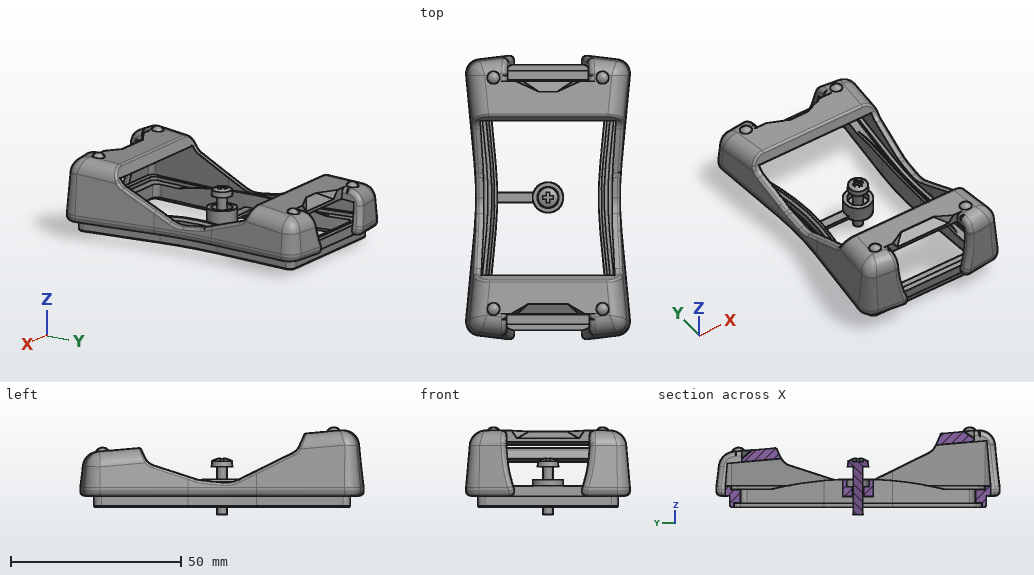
import cadquery as cq
import math

END_Y = 42.0
WAIST_X = 21.2
WAIST_ARC_Y = 10.0
FLARE_ANGLE = 5.4
END_FLAT_X = 8.75
END_DROP = 1.9
CORNER_R = 4.3
REACH = 100.05
OVERLAP = 0.8
TOLERANCE = 0.1

BUMPER_Z = 3.3
DRAFT_Z = 5.8
DRAFT_ANGLE = 5.0
BOTTOM_EDGE_R = 1.6
ROOF_Z = 19.6
ROOF_ANGLE = 5.0
ROOF_EDGE_R = 4.8
ROOF_T = 3.3
WALL_T = 2.25
CAVITY_END_Y = 39.0

CUT_POINTS = [(24.9, 19.6), (21.85, 12.9), (6.7, 8.0), (-2.5, 7.0), (-22.1, 16.7), (-24.85, 22.9)]
CUT_RADII = [4.2, 6.7, 8.3, 4.2]
RIM_R = 0.8

WINDOW_TOP_X = 12.2
WINDOW_BOTTOM_X = 9.2
WINDOW_TOP_Z = 18.6
WINDOW_INNER_Y = 34.2
WINDOW_EDGE_R = 1.5

SCOOP_INNER_Y = 31.1
SCOOP_HIGH_X = 5.8
SCOOP_LOW_X = 2.75
SCOOP_SIDE_ANGLE = 20.0
SCOOP_OUTER_X = 13.5
SCOOP_OUTER_Y = 35.85
SCOOP_DEPTH = 2.3

RING_WAIST_X = 17.75
RING_END_Y = 37.7
RING_CORNER_R = 2.1
RING_EDGE = 0.4
OPENING_WAIST_X = 14.8
OPENING_END_Y = 34.4
UPPER_LEDGE_Z = 6.3
UPPER_LEDGE_WAIST_X = 17.6
UPPER_LEDGE_END_Y = 37.3
LOWER_LEDGE_Z = 5.25
UNDERCUT_Z = 1.25
UNDERCUT_T = 1.3
LIP_T = 1.7
LIP_TOP_Z = 8.3
LIP_EDGE = 0.8
LIP_HALF_L = 25.85
INNER_CORNER_R = 1.7

NUB_X = 16.0
NUB_HIGH_Y = -32.8
NUB_LOW_Y = 35.2
NUB_D = 3.7
NUB_H = 1.1

ARM_W = 3.0
ARM_T = 1.0
ARM_TOP_Z = 4.2
BOSS_D = 9.0
BOSS_TOP_Z = 8.2
BOSS_HOLE_D = 3.2
BOSS_BORE_D = 6.3
BOSS_BORE_DEPTH = 2.1

SHANK_D = 3.0
TIP_D = 2.75
TIP_Z = -2.2
HEAD_D = 6.25
HEAD_NECK_D = 5.9
HEAD_Z = 11.9
DOME_Z = 13.6
HEAD_TOP_Z = 14.5
CROSS_L = 3.0
CROSS_W = 1.0
CROSS_DEPTH = 1.0


def flared_outline(z, waist_x, end_y, corner_r, end_drop=0.0):
    """Closed waisted outline, symmetric about both axes, with rounded corners."""
    flare = math.radians(FLARE_ANGLE)
    arc_x = waist_x + WAIST_ARC_Y * math.tan(flare / 2)
    corner_y = end_y - end_drop
    corner_x = arc_x + (corner_y - WAIST_ARC_Y) * math.tan(flare)
    sketch = (
        cq.Workplane("XY", origin=(0, 0, z))
        .moveTo(arc_x, -WAIST_ARC_Y)
        .threePointArc((waist_x, 0), (arc_x, WAIST_ARC_Y))
        .lineTo(corner_x, corner_y)
    )
    if end_drop:
        sketch = sketch.lineTo(END_FLAT_X, end_y).lineTo(-END_FLAT_X, end_y)
    sketch = (
        sketch.lineTo(-corner_x, corner_y)
        .lineTo(-arc_x, WAIST_ARC_Y)
        .threePointArc((-waist_x, 0), (-arc_x, -WAIST_ARC_Y))
        .lineTo(-corner_x, -corner_y)
    )
    if end_drop:
        sketch = sketch.lineTo(-END_FLAT_X, -end_y).lineTo(END_FLAT_X, -end_y)
    wire = sketch.lineTo(corner_x, -corner_y).close().val()
    corners = [v for v in wire.Vertices() if abs(abs(v.X) - corner_x) < TOLERANCE]
    return cq.Workplane("XY", origin=(0, 0, z)).add(wire.fillet2D(corner_r, corners)).toPending()


def flared_prism(bottom_z, top_z, waist_x, end_y, corner_r):
    return flared_outline(bottom_z, waist_x, end_y, corner_r).extrude(top_z - bottom_z)


def roof_z(y):
    return ROOF_Z - y * math.tan(math.radians(ROOF_ANGLE))


def space_above_roof(offset):
    """Everything above the roof plane moved down by offset."""
    return (
        cq.Workplane("YZ")
        .polyline([(-REACH, roof_z(-REACH) - offset), (REACH, roof_z(REACH) - offset),
                   (REACH, REACH), (-REACH, REACH)])
        .close()
        .extrude(REACH, both=True)
    )


def drafted_block(waist_x, end_y, corner_r, end_drop, top_offset):
    """Upright up to DRAFT_Z, drafted above, closed by a plane parallel to the roof."""
    upright = flared_outline(BUMPER_Z, waist_x, end_y, corner_r, end_drop).extrude(DRAFT_Z - BUMPER_Z)
    drafted = flared_outline(DRAFT_Z, waist_x, end_y, corner_r, end_drop).extrude(
        ROOF_Z, taper=DRAFT_ANGLE
    )
    return upright.union(drafted).cut(space_above_roof(top_offset))


def rim_edges(solid, cutter):
    """Edges where the faces left by the cutter meet the other faces of the solid."""
    def on_cutter(edge):
        middle = cq.Vertex.makeVertex(*edge.positionAt(0.5).toTuple())
        return cutter.val().distance(middle) < TOLERANCE / 100

    cut_faces = [f for f in solid.faces().vals() if all(on_cutter(e) for e in f.Edges())]
    edges = [e for f in cut_faces for e in f.Edges()]
    return [e for e in edges if sum(e.isSame(other) for other in edges) == 1]


def side_cut():
    """Everything to be removed between the two roofs, with rounded bends."""
    low_roof_y = CUT_POINTS[0][0]
    high_roof_y = CUT_POINTS[-1][0]
    profile = cq.Workplane("YZ").polyline(CUT_POINTS + [(high_roof_y, REACH), (low_roof_y, REACH)])
    solid = profile.close().extrude(REACH / 2, both=True)
    for (y, z), radius in zip(CUT_POINTS[1:-1], CUT_RADII):
        tip = cq.selectors.BoxSelector(
            (-TOLERANCE, y - TOLERANCE, z - TOLERANCE), (TOLERANCE, y + TOLERANCE, z + TOLERANCE)
        )
        solid = solid.edges(tip).fillet(radius)
    return solid


def end_windows():
    """Openings through both end walls, wider at the roof than at the bottom."""
    half = (
        cq.Workplane("XZ", origin=(0, REACH / 2, 0))
        .moveTo(WINDOW_TOP_X, REACH)
        .lineTo(WINDOW_TOP_X, WINDOW_TOP_Z)
        .tangentArcPoint((WINDOW_BOTTOM_X, BUMPER_Z), relative=False)
        .lineTo(WINDOW_BOTTOM_X, 0)
        .lineTo(0, 0)
        .lineTo(0, REACH)
        .close()
        .extrude(REACH / 2 - WINDOW_INNER_Y)
    )
    low_end = half.union(half.mirror("YZ"))
    return low_end.union(low_end.mirror("XZ"))


def scoop(end, inner_x):
    """Sloping trapezoid cut in the outer edge of a roof; end is +1 or -1 along Y."""
    inner_z = roof_z(end * SCOOP_INNER_Y)
    top_z = max(inner_z, roof_z(end * SCOOP_OUTER_Y))
    cutter = (
        cq.Workplane("XY", origin=(0, 0, top_z))
        .polyline([(inner_x, end * SCOOP_INNER_Y), (SCOOP_OUTER_X, end * SCOOP_OUTER_Y),
                   (SCOOP_OUTER_X, end * END_Y), (-SCOOP_OUTER_X, end * END_Y),
                   (-SCOOP_OUTER_X, end * SCOOP_OUTER_Y), (-inner_x, end * SCOOP_INNER_Y)])
        .close()
        .extrude(-ROOF_T - OVERLAP, taper=SCOOP_SIDE_ANGLE)
    )
    outer_z = roof_z(end * WINDOW_INNER_Y) - SCOOP_DEPTH
    slope = (outer_z - inner_z) / (WINDOW_INNER_Y - SCOOP_INNER_Y)
    above = (
        cq.Workplane("YZ")
        .polyline([(end * SCOOP_INNER_Y, inner_z),
                   (end * SCOOP_OUTER_Y, inner_z + slope * (SCOOP_OUTER_Y - SCOOP_INNER_Y)),
                   (end * SCOOP_OUTER_Y, REACH), (end * SCOOP_INNER_Y, REACH)])
        .close()
        .extrude(REACH, both=True)
    )
    return cutter.intersect(above)


def make_bumper():
    shell = drafted_block(WAIST_X, END_Y, CORNER_R, END_DROP, 0)
    shell = shell.faces(">Z").edges().fillet(ROOF_EDGE_R)
    shell = shell.faces("<Z").edges().fillet(BOTTOM_EDGE_R)
    cut = side_cut()
    shell = shell.cut(cut)
    shell = shell.newObject(rim_edges(shell, cut)).fillet(RIM_R)
    windows = end_windows()
    shell = shell.cut(windows)
    outer_edges = [
        e for e in rim_edges(shell, windows)
        if abs(e.Center().y) > WINDOW_INNER_Y + TOLERANCE and e.Center().z > BUMPER_Z + TOLERANCE
    ]
    shell = shell.newObject(outer_edges).fillet(WINDOW_EDGE_R)
    cavity = drafted_block(WAIST_X - WALL_T, CAVITY_END_Y, INNER_CORNER_R, 0, ROOF_T)
    shell = shell.cut(cavity)
    shell = shell.cut(scoop(-1, SCOOP_HIGH_X))
    return shell.cut(scoop(1, SCOOP_LOW_X))


def make_ring():
    lower = flared_prism(0, BUMPER_Z, RING_WAIST_X, RING_END_Y, RING_CORNER_R)
    lower = lower.faces("<Z").edges().chamfer(RING_EDGE)
    upper = flared_prism(BUMPER_Z, UPPER_LEDGE_Z, WAIST_X - WALL_T, CAVITY_END_Y, INNER_CORNER_R)
    ring = lower.union(upper)
    opening = flared_prism(0, REACH, OPENING_WAIST_X, OPENING_END_Y, INNER_CORNER_R)
    groove = flared_prism(
        LOWER_LEDGE_Z, REACH, UPPER_LEDGE_WAIST_X, UPPER_LEDGE_END_Y, INNER_CORNER_R
    )
    undercut = flared_prism(
        0, UNDERCUT_Z, RING_WAIST_X - UNDERCUT_T, RING_END_Y - UNDERCUT_T, INNER_CORNER_R
    )
    return ring.cut(opening).cut(groove).cut(undercut)


def lip_middle_x(y):
    """Half width of the line that runs midway between the two faces of a lip."""
    slope = math.tan(math.radians(FLARE_ANGLE))
    return OPENING_WAIST_X + LIP_T / 2 + max(0, abs(y) - WAIST_ARC_Y / 2) * slope


def make_lips():
    """Two arched lips along the waisted sides of the ring opening."""
    outside = flared_prism(0, REACH, OPENING_WAIST_X + LIP_T, OPENING_END_Y, INNER_CORNER_R)
    inside = flared_prism(0, REACH, OPENING_WAIST_X, OPENING_END_Y + LIP_T, INNER_CORNER_R)
    base_z = LOWER_LEDGE_Z - OVERLAP
    arch = (
        cq.Workplane("YZ")
        .moveTo(-LIP_HALF_L, base_z)
        .lineTo(-LIP_HALF_L, LOWER_LEDGE_Z)
        .threePointArc((0, LIP_TOP_Z), (LIP_HALF_L, LOWER_LEDGE_Z))
        .lineTo(LIP_HALF_L, base_z)
        .close()
        .extrude(REACH, both=True)
    )
    lips = outside.cut(inside).intersect(arch)
    top_edges = [
        e for e in lips.edges().vals()
        if e.Center().z > LOWER_LEDGE_Z + TOLERANCE and e.Length() > LIP_T + OVERLAP
        and abs(e.positionAt(0.5).x) > lip_middle_x(e.positionAt(0.5).y)
    ]
    return lips.newObject(top_edges).chamfer(LIP_EDGE)


def make_nub(x, y):
    """Dome on the roof, square to the roof plane."""
    radius = (NUB_D**2 / 4 + NUB_H**2) / (2 * NUB_H)
    ball = cq.Workplane("XY").sphere(radius).translate((0, 0, NUB_H - radius))
    dome = ball.intersect(cq.Workplane("XY").box(NUB_D, NUB_D, 4 * NUB_H))
    return dome.rotate((0, 0, 0), (1, 0, 0), -ROOF_ANGLE).translate((x, y, roof_z(y)))


def make_boss():
    arm_z = ARM_TOP_Z - ARM_T
    arm_end_x = OPENING_WAIST_X + OVERLAP
    arm = cq.Workplane("XY").box(arm_end_x, ARM_W, ARM_T, centered=(False, True, False))
    arm = arm.translate((-arm_end_x, 0, arm_z))
    boss = cq.Workplane("XY", origin=(0, 0, arm_z)).circle(BOSS_D / 2).extrude(BOSS_TOP_Z - arm_z)
    hole = cq.Workplane("XY").circle(BOSS_HOLE_D / 2).extrude(REACH)
    bore = cq.Workplane("XY", origin=(0, 0, BOSS_TOP_Z - BOSS_BORE_DEPTH))
    bore = bore.circle(BOSS_BORE_D / 2).extrude(REACH)
    return arm.union(boss).cut(hole).cut(bore)


def make_frame():
    frame = make_bumper().union(make_ring()).union(make_lips())
    for x in (-NUB_X, NUB_X):
        for y in (NUB_HIGH_Y, NUB_LOW_Y):
            frame = frame.union(make_nub(x, y))
    return frame.union(make_boss())


def make_screw():
    shank = cq.Workplane("XY", origin=(0, 0, TIP_Z)).circle(SHANK_D / 2).extrude(HEAD_Z - TIP_Z)
    shank = shank.faces("<Z").edges().chamfer((SHANK_D - TIP_D) / 2)
    dome_rise = HEAD_TOP_Z - DOME_Z
    dome_r = (HEAD_NECK_D**2 / 4 + dome_rise**2) / (2 * dome_rise)
    mid_x = HEAD_NECK_D / 4
    mid_z = HEAD_TOP_Z - dome_r + math.sqrt(dome_r**2 - mid_x**2)
    head = (
        cq.Workplane("XZ")
        .moveTo(0, HEAD_Z)
        .lineTo(HEAD_D / 2, HEAD_Z)
        .lineTo(HEAD_NECK_D / 2, DOME_Z)
        .threePointArc((mid_x, mid_z), (0, HEAD_TOP_Z))
        .close()
        .revolve(360, (0, 0, 0), (0, 1, 0))
    )
    screw = shank.union(head)
    for length, width in ((CROSS_L, CROSS_W), (CROSS_W, CROSS_L)):
        slot = cq.Workplane("XY", origin=(0, 0, HEAD_TOP_Z - CROSS_DEPTH)).rect(length, width)
        screw = screw.cut(slot.extrude(CROSS_DEPTH))
    return screw


frame = make_frame()
screw = make_screw()
result = cq.Compound.makeCompound([frame.val(), screw.val()])